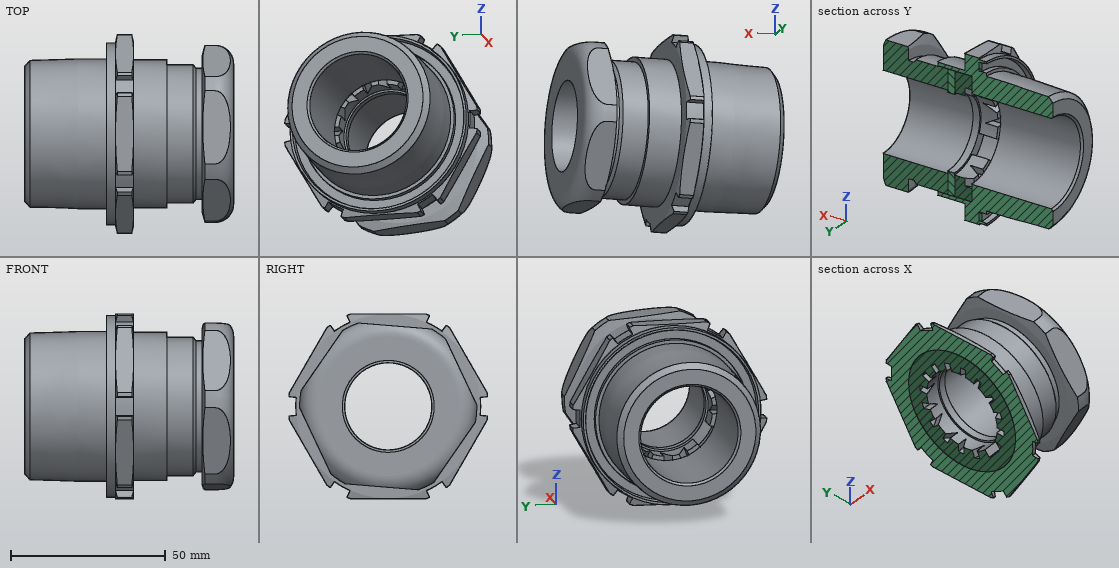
import cadquery as cq
import math

thread_chamfer_end = 1.75
thread_taper_end = 17.4
flange_start = 26.4
hex_start = 29.4
hex_end = 35.3
sleeve_end = 46.05
shank_chamfer_start = 54.5
shank_chamfer_end = 55.5
head_start = 57.45
head_cone_end = 58.4
gland_end = 67.75

thread_radius = 24.3
thread_tip_radius = 23.85
thread_chamfer = 1.9
flange_radius = 29.55
sleeve_radius = 24.05
bore_radius = 16.2
bore_chamfer = 0.75
socket_start = 32.5

body_hex_flats = 60.0
hex_corner_radius = 32.4
hex_face_radius = 29.9
hex_cone_depth = 0.6
corner_notch_angle = 11.0
notch_tip_fillet = 0.6

groove_inner_radius = 25.5
groove_outer_radius = 28.4
groove_depth = 3.0
groove_mouth_taper = 0.35
gasket_thickness = 1.1

clamp_length = 6.8
clamp_bore_radius = 14.8
slot_floor_radius = 17.6
slot_width = 2.85
slot_depth = 4.95
slot_pair_pitch = 45.0
slot_pair_spread = 20.0
slot_pairs = 7
window_angle = 28.0
window_centre_angle = 215.0
seal_length = 2.7
seal_bore_radius = 14.1

shank_radius = 22.5
neck_radius = 21.35
screw_bore_radius = 14.9
head_radius = 28.7
head_flats = 52.3
head_face_radius = 25.2
head_round_radius = 6.0
head_turn_angle = -4.7

HEX_SIDES = 6

gasket_start = flange_start + groove_depth - gasket_thickness
clamp_start = socket_start
seal_start = clamp_start + clamp_length
shank_start = seal_start + seal_length


def revolve_about_x(profile):
    """Revolve a profile of (x, radius) drawn on the XY plane about the X axis."""
    return profile.close().revolve(360, (0, 0, 0), (1, 0, 0))


def tube(start, length, outer_radius, inner_radius):
    """Plain ring along X."""
    return cq.Workplane("YZ", origin=(start, 0, 0)).circle(outer_radius).circle(inner_radius).extrude(length)


def hex_prism(start, end, across_flats, turn=0):
    """Hexagonal prism along X with flats facing +Z and -Z before it is turned."""
    across_corners = across_flats / math.cos(math.pi / HEX_SIDES)
    prism = cq.Workplane("YZ", origin=(start, 0, 0)).polygon(HEX_SIDES, across_corners).extrude(end - start)
    return prism.rotate((0, 0, 0), (1, 0, 0), turn)


def sector(start, end, inner_radius, outer_radius, angle_width, angle_centre):
    """Part of a ring between two radial walls, with angles measured from +Y towards +Z."""
    first = math.radians(angle_centre - angle_width / 2)
    middle = math.radians(angle_centre)
    last = math.radians(angle_centre + angle_width / 2)

    def at(radius, angle):
        return radius * math.cos(angle), radius * math.sin(angle)

    return (
        cq.Workplane("YZ", origin=(start, 0, 0))
        .moveTo(*at(inner_radius, first))
        .lineTo(*at(outer_radius, first))
        .threePointArc(at(outer_radius, middle), at(outer_radius, last))
        .lineTo(*at(inner_radius, last))
        .threePointArc(at(inner_radius, middle), at(inner_radius, first))
        .close()
        .extrude(end - start)
    )


def make_wrench_hexagon():
    """Hexagon with a radial notch at each corner and a shallow cone on both faces."""
    apothem = body_hex_flats / 2
    corner_reach = apothem / math.cos(math.pi / HEX_SIDES)
    hexagon = hex_prism(hex_start, hex_end, body_hex_flats)
    for index in range(HEX_SIDES):
        angle = index * 360 / HEX_SIDES
        hexagon = hexagon.cut(sector(hex_start, hex_end, apothem, corner_reach + 0.7, corner_notch_angle, angle))

    tip_angle = math.radians(corner_notch_angle / 2)
    tip_radius = apothem / math.cos(math.pi / HEX_SIDES - tip_angle)
    tip_edges = [
        edge
        for edge in hexagon.edges("|X").vals()
        if abs(math.hypot(edge.Center().y, edge.Center().z) - tip_radius) < 0.1
    ]
    hexagon = hexagon.newObject(tip_edges).fillet(notch_tip_fillet)

    cone_limit = revolve_about_x(
        cq.Workplane("XY")
        .moveTo(hex_start, 0)
        .lineTo(hex_start, hex_face_radius)
        .lineTo(hex_start + hex_cone_depth, hex_corner_radius)
        .lineTo(hex_end - hex_cone_depth, hex_corner_radius)
        .lineTo(hex_end, hex_face_radius)
        .lineTo(hex_end, 0)
    )
    return hexagon.intersect(cone_limit)


def make_face_groove():
    """Straight channel that holds the gasket, with a mouth that flares at its outer wall."""
    channel = tube(gasket_start, gasket_thickness, groove_outer_radius, groove_inner_radius)
    mouth = revolve_about_x(
        cq.Workplane("XY")
        .moveTo(gasket_start, groove_inner_radius)
        .lineTo(gasket_start, groove_outer_radius)
        .lineTo(flange_start, groove_outer_radius + groove_mouth_taper)
        .lineTo(flange_start, groove_inner_radius)
    )
    return channel.union(mouth)


def make_body():
    """Threaded spigot, grooved flange, wrench hexagon and socket sleeve."""
    turned = revolve_about_x(
        cq.Workplane("XY")
        .moveTo(0, 0)
        .lineTo(0, thread_tip_radius - thread_chamfer)
        .lineTo(thread_chamfer_end, thread_tip_radius)
        .lineTo(thread_taper_end, thread_radius)
        .lineTo(flange_start, thread_radius)
        .lineTo(flange_start, flange_radius)
        .lineTo(hex_start, flange_radius)
        .lineTo(hex_start, sleeve_radius)
        .lineTo(sleeve_end, sleeve_radius)
        .lineTo(sleeve_end, 0)
    )
    bore = revolve_about_x(
        cq.Workplane("XY")
        .moveTo(0, 0)
        .lineTo(0, bore_radius + bore_chamfer)
        .lineTo(bore_chamfer, bore_radius)
        .lineTo(socket_start, bore_radius)
        .lineTo(socket_start, shank_radius)
        .lineTo(sleeve_end, shank_radius)
        .lineTo(sleeve_end, 0)
    )
    return turned.union(make_wrench_hexagon()).cut(bore).cut(make_face_groove())


def make_gasket():
    """Flat ring lying on the floor of the flange groove."""
    return tube(gasket_start, gasket_thickness, groove_outer_radius, groove_inner_radius)


def make_clamp_slot(angle, ramp_side):
    """Wedge cutter pointing outward at an angle from +Y, with a ramp facing a straight wall."""
    ramp_edge = ramp_side * slot_width / 2
    return (
        cq.Workplane("XZ")
        .moveTo(clamp_start, ramp_edge)
        .lineTo(clamp_start, -ramp_edge)
        .lineTo(clamp_start + slot_depth, -ramp_edge)
        .close()
        .extrude(-slot_floor_radius)
        .rotate((0, 0, 0), (1, 0, 0), angle)
    )


def make_clamp_ring():
    """Ring with pairs of oppositely ramped slots in its bore and one wide window."""
    ring = tube(clamp_start, clamp_length, shank_radius, clamp_bore_radius)
    first_pair_angle = window_centre_angle + slot_pair_spread / 2 + slot_pair_pitch
    for pair in range(slot_pairs):
        angle = first_pair_angle + pair * slot_pair_pitch
        ring = ring.cut(make_clamp_slot(angle, -1))
        ring = ring.cut(make_clamp_slot(angle - slot_pair_spread, 1))
    window = sector(
        clamp_start, seal_start, clamp_bore_radius - 0.7, slot_floor_radius, window_angle, window_centre_angle
    )
    return ring.cut(window)


def make_seal():
    """Sealing ring squeezed between the clamping ring and the pressure screw."""
    return tube(seal_start, seal_length, shank_radius, seal_bore_radius)


def make_pressure_screw():
    """Hollow screw with a shank, a relieved neck and a rounded hexagonal head."""
    shank = revolve_about_x(
        cq.Workplane("XY")
        .moveTo(shank_start, 0)
        .lineTo(shank_start, shank_radius)
        .lineTo(shank_chamfer_start, shank_radius)
        .lineTo(shank_chamfer_end, neck_radius)
        .lineTo(head_start, neck_radius)
        .lineTo(head_start, 0)
    )
    round_start = gland_end - head_round_radius
    round_middle = head_round_radius * math.sqrt(0.5)
    head_blank = revolve_about_x(
        cq.Workplane("XY")
        .moveTo(head_start, 0)
        .lineTo(head_start, head_face_radius)
        .lineTo(head_cone_end, head_radius)
        .lineTo(round_start, head_radius)
        .threePointArc(
            (round_start + round_middle, head_radius - head_round_radius + round_middle),
            (gland_end, head_radius - head_round_radius),
        )
        .lineTo(gland_end, 0)
    )
    head = head_blank.intersect(hex_prism(head_start, gland_end, head_flats, head_turn_angle))
    bore = cq.Workplane("YZ", origin=(shank_start, 0, 0)).circle(screw_bore_radius).extrude(gland_end - shank_start)
    return shank.union(head).cut(bore)


body = make_body()
gasket = make_gasket()
clamp_ring = make_clamp_ring()
seal = make_seal()
pressure_screw = make_pressure_screw()

result = cq.Compound.makeCompound(
    [body.val(), gasket.val(), clamp_ring.val(), seal.val(), pressure_screw.val()]
)